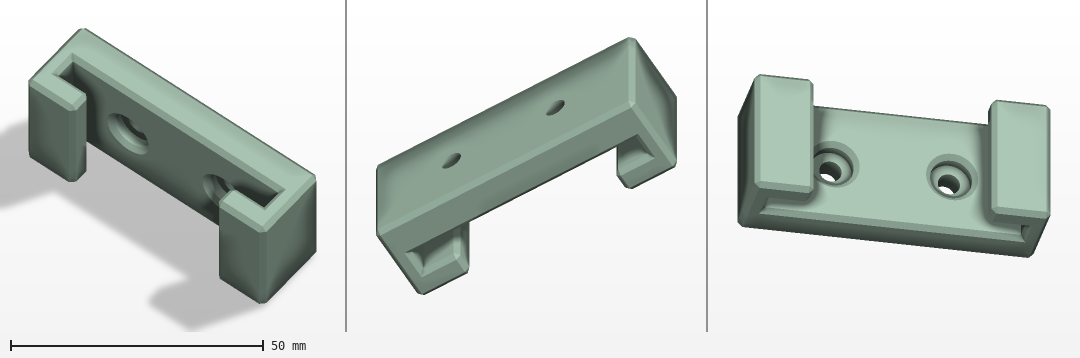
import cadquery as cq

length = 60.0
depth = 18.0
height = 26.0

plate_thickness = 8.0
side_wall = 4.0
lip_thickness = 5.4
lip_length = 12.0
edge_chamfer = 1.0
position_tolerance = 0.005

hole_spacing = 24.0
hole_z = -0.5
hole_diameter = 4.5
counterbore_diameter = 8.5
counterbore_depth = 3.0

back_y = depth / 2
front_y = -depth / 2
plate_front_y = back_y - plate_thickness
lip_back_y = front_y + lip_thickness
slot_half_length = length / 2 - side_wall
opening_half_length = length / 2 - lip_length


def channel():
    """Plate with two hooked lips, chamfered on every edge but the slot's inner corners."""
    right_half = [
        (length / 2, back_y),
        (length / 2, front_y),
        (opening_half_length, front_y),
        (opening_half_length, lip_back_y),
        (slot_half_length, lip_back_y),
        (slot_half_length, plate_front_y),
    ]
    left_half = [(-x, y) for x, y in reversed(right_half)]
    body = (
        cq.Workplane("XY")
        .workplane(offset=-height / 2)
        .polyline(right_half + left_half)
        .close()
        .extrude(height)
    )
    slot_corners = [(x, y) for x, y in right_half + left_half if abs(x) == slot_half_length]
    kept_sharp = [cq.Vector(x, y, 0) for x, y in slot_corners]
    chamfered = body.edges().filter(
        lambda edge: all((edge.Center() - corner).Length > position_tolerance for corner in kept_sharp)
    )
    return chamfered.chamfer(edge_chamfer)


def screw_hole(x):
    """Cutter for one through hole with a chamfered counterbore in the plate's front face."""
    front_plane = cq.Workplane("XZ", origin=(x, plate_front_y, hole_z))
    through = front_plane.circle(hole_diameter / 2).extrude(-plate_thickness)
    counterbore = front_plane.circle(counterbore_diameter / 2).extrude(-counterbore_depth)
    rim = (
        front_plane.circle(counterbore_diameter / 2 + edge_chamfer)
        .workplane(offset=-edge_chamfer)
        .circle(counterbore_diameter / 2)
        .loft()
    )
    return through.union(counterbore).union(rim)


result = channel()
for hole_x in (-hole_spacing / 2, hole_spacing / 2):
    result = result.cut(screw_hole(hole_x))